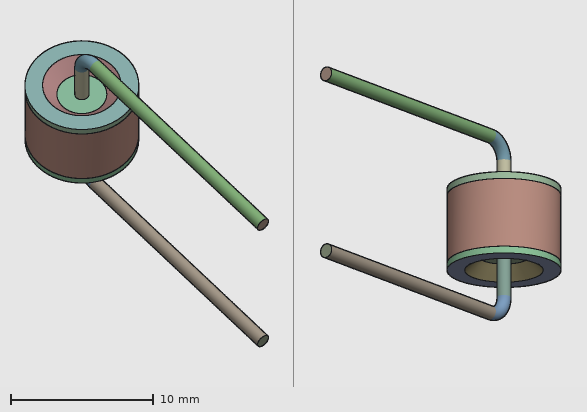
import cadquery as cq

body_diameter = 8.0
cap_diameter = 8.02
body_height = 6.0
cap_thickness = 0.5

recess_rim_diameter = 5.52
recess_floor_diameter = 3.5
recess_depth = 1.0

wire_diameter = 1.0
bend_radius = 1.5
overall_length = 24.0
overall_height = 14.05

half_height = body_height / 2
lead_end_x = overall_length - cap_diameter / 2
lead_centre_height = (overall_height - wire_diameter) / 2


def cylinder(diameter, bottom, height):
    return cq.Workplane("XY").workplane(offset=bottom).circle(diameter / 2).extrude(height)


def make_body():
    """Drum with a slightly wider band at each end."""
    drum = cylinder(body_diameter, -half_height, body_height)
    lower_cap = cylinder(cap_diameter, -half_height, cap_thickness)
    upper_cap = cylinder(cap_diameter, half_height - cap_thickness, cap_thickness)
    return drum.union(lower_cap).union(upper_cap)


def make_recess():
    """Conical cup with a flat floor, opening through the top face."""
    rim_radius = recess_rim_diameter / 2
    floor_radius = recess_floor_diameter / 2
    floor_height = half_height - recess_depth
    return (
        cq.Workplane("XZ")
        .moveTo(0, floor_height)
        .lineTo(floor_radius, floor_height)
        .lineTo(rim_radius, half_height)
        .lineTo(0, half_height)
        .close()
        .revolve(360, (0, 0, 0), (0, 1, 0))
    )


def make_lead():
    """Wire rising from the body centre and bending towards +X."""
    path = (
        cq.Workplane("XZ")
        .lineTo(0, lead_centre_height - bend_radius)
        .radiusArc((bend_radius, lead_centre_height), bend_radius)
        .lineTo(lead_end_x, lead_centre_height)
    )
    return cq.Workplane("XY").circle(wire_diameter / 2).sweep(path)


recess = make_recess()
upper_lead = make_lead()

result = make_body()
for feature in (recess, recess.mirror("XY")):
    result = result.cut(feature)
for lead in (upper_lead, upper_lead.mirror("XY")):
    result = result.union(lead)